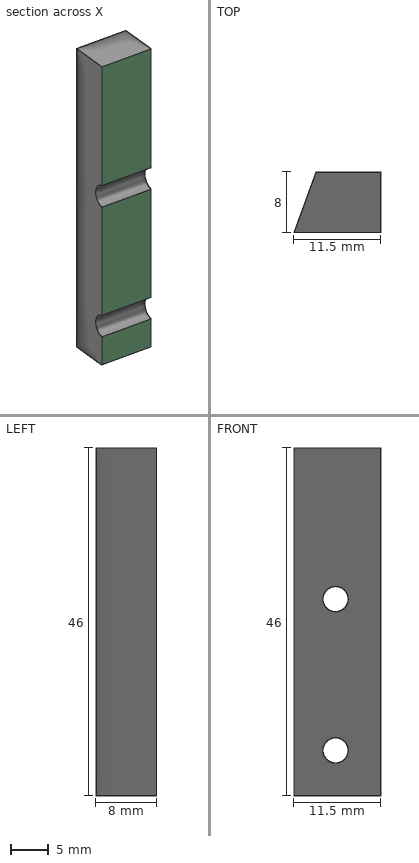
import cadquery as cq
import math

width = 11.5
depth = 8.0
height = 46.0
flank_angle = 20.0

thread_diameter = 4.0
core_diameter = 3.3
hole_x = 5.5
first_hole_z = 6.0
hole_pitch = 20.0
hole_count = 2

hole_positions = [(hole_x, first_hole_z + i * hole_pitch) for i in range(hole_count)]


def make_bar():
    flank_offset = depth * math.tan(math.radians(flank_angle))
    section = [(0, 0), (width, 0), (width, depth), (flank_offset, depth)]
    return cq.Workplane("XY").polyline(section).close().extrude(height)


def make_rods(diameter):
    """Rods at the hole positions, running from the front face (Y = 0) to the back."""
    return cq.Workplane("XZ").pushPoints(hole_positions).circle(diameter / 2).extrude(-depth)


def add_threaded_holes(bar):
    thread_rods = make_rods(thread_diameter)
    thread_rings = thread_rods.cut(make_rods(core_diameter))
    return bar.cut(thread_rods).union(thread_rings, clean=False)


result = add_threaded_holes(make_bar())